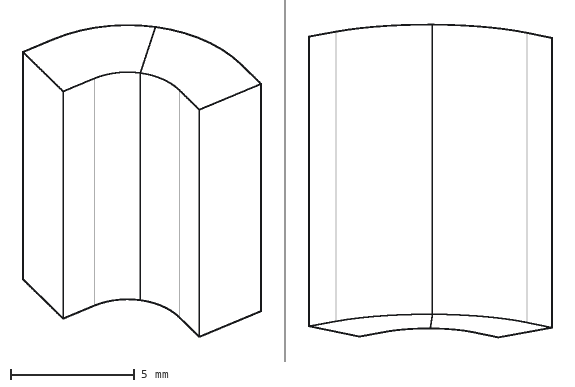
import cadquery as cq
import math

height = 12.0
outer_side = 7.0
wall_thickness = 3.0
straight_length = 1.5

outer_radius = outer_side - straight_length
inner_radius = outer_radius - wall_thickness

split_angle = 135.0
bend_start_angle = 90.0


def on_circle(radius, angle):
    """Point at an angle in degrees, counted from +X, on a circle around the bend axis."""
    return (radius * math.cos(math.radians(angle)), radius * math.sin(math.radians(angle)))


def make_segment(turn):
    """Half of the bend with its straight end, turned about the horizontal line in the joint plane."""
    arc_middle_angle = (bend_start_angle + split_angle) / 2
    profile = (
        cq.Workplane("XY")
        .moveTo(straight_length, inner_radius)
        .lineTo(straight_length, outer_radius)
        .lineTo(0, outer_radius)
        .threePointArc(on_circle(outer_radius, arc_middle_angle), on_circle(outer_radius, split_angle))
        .lineTo(*on_circle(inner_radius, split_angle))
        .threePointArc(on_circle(inner_radius, arc_middle_angle), (0, inner_radius))
        .close()
    )
    segment = profile.extrude(height / 2, both=True)
    return segment.rotate((0, 0, 0), (*on_circle(1, split_angle), 0), turn)


segments = [make_segment(turn) for turn in (0, 180)]

result = cq.Compound.makeCompound([segment.val() for segment in segments])